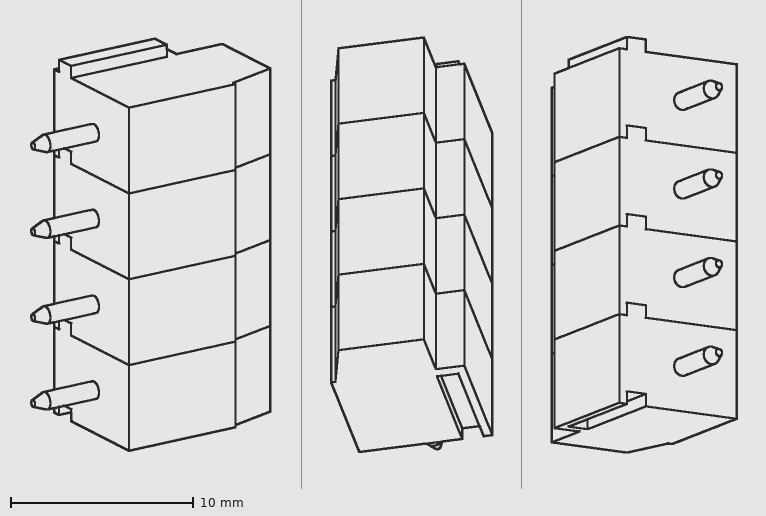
import cadquery as cq


MODULE_COUNT = 4
STACK_HEIGHT = 20.7

RIB_HEIGHT = 0.7
RIB_WIDTH = 1.2
RIB_LENGTH = 6.3
RIB_OFFSET = 0.5

MODULE_PITCH = (STACK_HEIGHT - RIB_HEIGHT) / MODULE_COUNT

HOUSING_WIDTH = 7.5
HOUSING_DEPTH = 10.0
SHOULDER_DEPTH = 7.0
STEP_WIDTH = 1.6
LEDGE_WIDTH = 0.25
SLOPE_INSET = 1.1

PIN_DIAMETER = 1.0
PIN_TIP_DIAMETER = 0.4
PIN_LENGTH = 4.0
PIN_TIP_LENGTH = 0.8
PIN_X = 4.0
PIN_Z = MODULE_PITCH / 2


def make_housing():
    """Block with a stepped side and a sloped side, one pitch high."""
    return (
        cq.Workplane("XY")
        .moveTo(0, 0)
        .lineTo(HOUSING_WIDTH, 0)
        .lineTo(HOUSING_WIDTH, SHOULDER_DEPTH)
        .lineTo(HOUSING_WIDTH - LEDGE_WIDTH, SHOULDER_DEPTH)
        .lineTo(HOUSING_WIDTH - SLOPE_INSET, HOUSING_DEPTH)
        .lineTo(STEP_WIDTH, HOUSING_DEPTH)
        .lineTo(STEP_WIDTH, SHOULDER_DEPTH)
        .lineTo(0, SHOULDER_DEPTH)
        .close()
        .extrude(MODULE_PITCH)
    )


def make_rib(base_z):
    """Rib shape with its underside at base_z; it also cuts the matching slot."""
    return (
        cq.Workplane("XY")
        .box(RIB_WIDTH, RIB_LENGTH, RIB_HEIGHT, centered=False)
        .translate((RIB_OFFSET, 0, base_z))
    )


def make_pin():
    """Round pin pointing to -Y, ending in a cone with a flat tip."""
    radius = PIN_DIAMETER / 2
    half_profile = (
        cq.Workplane("YZ")
        .moveTo(0, 0)
        .lineTo(0, radius)
        .lineTo(PIN_TIP_LENGTH - PIN_LENGTH, radius)
        .lineTo(-PIN_LENGTH, PIN_TIP_DIAMETER / 2)
        .lineTo(-PIN_LENGTH, 0)
        .close()
    )
    pin = half_profile.revolve(360, (0, 0, 0), (1, 0, 0))
    return pin.translate((PIN_X, 0, PIN_Z))


def make_module():
    """One pole of the terminal block as a single solid, standing on Z = 0."""
    slotted_housing = make_housing().cut(make_rib(0))
    return slotted_housing.union(make_rib(MODULE_PITCH)).union(make_pin()).solids()


modules = []
for index in range(MODULE_COUNT):
    module = make_module().translate((0, 0, index * MODULE_PITCH))
    modules.append(module.val())

result = cq.Compound.makeCompound(modules)